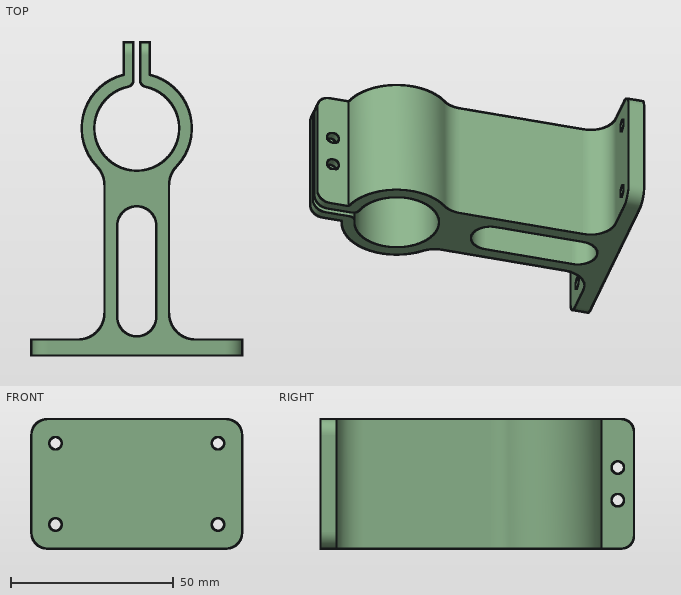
import cadquery as cq

length = 96.6
height = 40.0

plate_width = 65.0
plate_thickness = 5.0
plate_corner_radius = 5.0
plate_hole_diameter = 3.8
plate_hole_spacing_x = 50.1
plate_hole_spacing_z = 25.0

stem_width = 20.0
stem_fillet = 8.0
slot_width = 12.0
slot_start = 6.0
slot_end = 46.0

ring_center_y = 70.1
ring_outer_radius = 17.0
bore_radius = 13.0
gap_width = 2.0
ear_thickness = 3.0
ear_corner_radius = 4.0
gap_mouth_fillet = 2.0
ear_hole_diameter = 3.8
ear_hole_inset = 5.0
ear_hole_spacing = 10.05


def block(width, y_start, y_end):
    """Full-height block centred on X and Z between two Y positions."""
    middle_y = (y_start + y_end) / 2
    return cq.Workplane("XY").center(0, middle_y).box(width, y_end - y_start, height)


def cylinder(radius):
    """Full-height cylinder on the clamp axis."""
    return cq.Workplane("XY").center(0, ring_center_y).circle(radius).extrude(height / 2, both=True)


def edges_near(x, y):
    """Selector for the vertical edges at +-x and a given y."""
    reach = 0.3
    boxes = [
        cq.selectors.BoxSelector(
            (side * x - reach, y - reach, -height), (side * x + reach, y + reach, height)
        )
        for side in (-1, 1)
    ]
    return boxes[0] + boxes[1]


def make_plate():
    plate = block(plate_width, 0, plate_thickness)
    return plate.edges("|Y").fillet(plate_corner_radius)


def make_ears():
    ears = block(gap_width + 2 * ear_thickness, ring_center_y, length)
    return ears.edges("|X and >Y").fillet(ear_corner_radius)


def height_on_circle(radius, x):
    """Y distance from the circle centre to the circle at offset x."""
    return (radius**2 - x**2) ** 0.5


body = make_plate().union(block(stem_width, 0, ring_center_y)).union(cylinder(ring_outer_radius))
stem_half = stem_width / 2
stem_top_y = ring_center_y - height_on_circle(ring_outer_radius, stem_half)
for joint_y in (plate_thickness, stem_top_y):
    body = body.edges("|Z").edges(edges_near(stem_half, joint_y)).fillet(stem_fillet)

body = body.union(make_ears()).cut(cylinder(bore_radius))
body = body.cut(block(gap_width, ring_center_y, length))
gap_half = gap_width / 2
mouth_y = ring_center_y + height_on_circle(bore_radius, gap_half)
body = body.edges("|Z").edges(edges_near(gap_half, mouth_y)).fillet(gap_mouth_fillet)

slot = (
    cq.Workplane("XY")
    .center(0, (slot_start + slot_end) / 2)
    .slot2D(slot_end - slot_start, slot_width, 90)
    .extrude(height / 2, both=True)
)

plate_holes = (
    cq.Workplane("XZ")
    .rarray(plate_hole_spacing_x, plate_hole_spacing_z, 2, 2)
    .circle(plate_hole_diameter / 2)
    .extrude(-plate_thickness)
)

ear_holes = (
    cq.Workplane("YZ")
    .center(length - ear_hole_inset, 0)
    .rarray(1, ear_hole_spacing, 1, 2)
    .circle(ear_hole_diameter / 2)
    .extrude(gap_half + ear_thickness, both=True)
)

result = body.cut(slot).cut(plate_holes).cut(ear_holes)